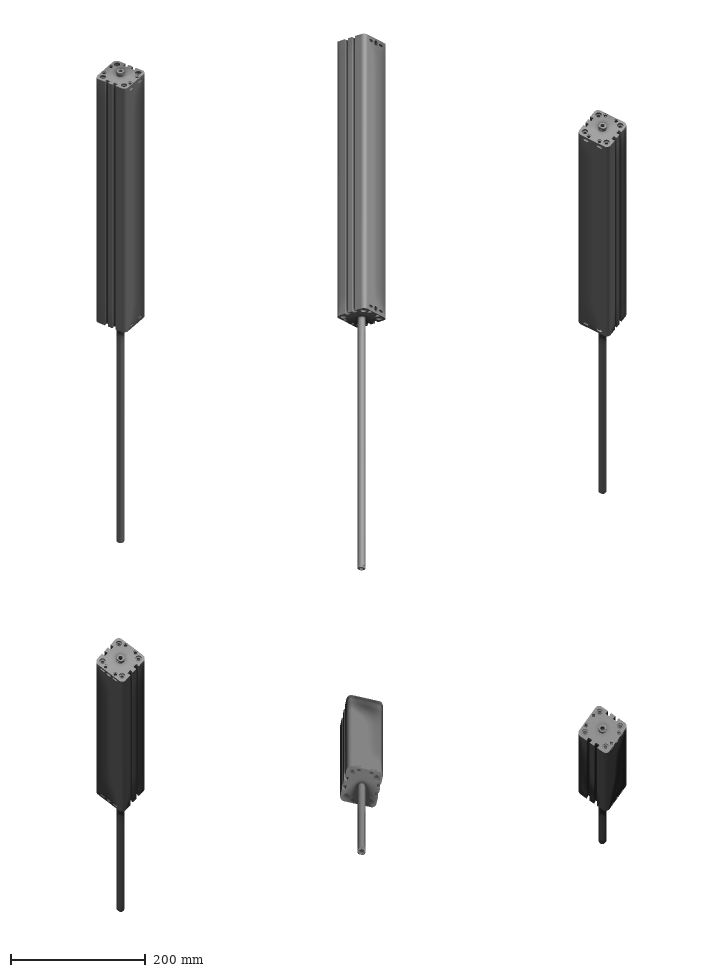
import cadquery as cq

total_length = 859.0
side = 55.0
corner_radius = 7.0
body_length = 445.0
cap_length = 14.0
rod_stickout = 7.1

slot_offset = 6.7
slot_mouth_width = 5.6
slot_inner_width = 6.4
slot_lip = 3.0
slot_depth = 5.6

rod_diameter = 12.0
rod_chamfer = 1.0
flat_depth = 1.0
flat_length = 4.0
rod_hole_diameter = 6.6
rod_hole_depth = 16.0
rod_seam_angle = 90

corner_hole_offset = 19.0
corner_head_diameter = 9.5
corner_head_depth = 3.5
side_hole_x = 23.0
side_hole_y = 9.5
side_head_diameter = 8.0
side_head_depth = 1.0
thread_diameter = 4.9
thread_depth = 7.0

port_distance = 7.1
port_diameter = 9.0
port_depth = 9.0
pocket_inner_y = 7.3
pocket_outer_y = 16.0
pocket_height = 4.0
pocket_depth = 3.5

rod_top = total_length / 2
body_top = rod_top - rod_stickout
body_bottom = body_top - body_length
body_middle = (body_top + body_bottom) / 2
upper_cap_bottom = body_top - cap_length
barrel_bottom = body_bottom + cap_length
barrel_length = body_length - 2 * cap_length

SIGNS = (-1, 1)


def corners(x, y):
    """The four points (+-x, +-y)."""
    return [(sx * x, sy * y) for sx in SIGNS for sy in SIGNS]


def slot_cutters(bottom, length, width, near_depth, far_depth):
    """Four strips along Z lying between two depths below the front and back faces."""
    centre_y = side / 2 - (near_depth + far_depth) / 2
    return (
        cq.Workplane("XY")
        .workplane(offset=bottom)
        .pushPoints(corners(slot_offset, centre_y))
        .rect(width, far_depth - near_depth)
        .extrude(length)
    )


def make_profile(bottom, length):
    """A length of the square section with its T-slots and the bore for the rod."""
    block = (
        cq.Workplane("XY")
        .workplane(offset=bottom)
        .rect(side, side)
        .extrude(length)
        .edges("|Z")
        .fillet(corner_radius)
    )
    bore = cq.Workplane("XY").workplane(offset=bottom).circle(rod_diameter / 2).extrude(length)
    return (
        block.cut(slot_cutters(bottom, length, slot_mouth_width, 0, slot_lip))
        .cut(slot_cutters(bottom, length, slot_inner_width, slot_lip, slot_depth))
        .cut(bore)
    )


def cut_stepped_holes(cap, points, head_diameter, head_depth):
    """Cut threaded holes with a wider head recess into the top face of a cap."""
    face = cq.Workplane("XY").workplane(offset=body_top).pushPoints(points)
    heads = face.circle(head_diameter / 2).extrude(-head_depth)
    threads = face.circle(thread_diameter / 2).extrude(-thread_depth)
    return cap.cut(heads).cut(threads)


def side_pockets(level):
    """Round-ended pockets, two in each of the two X faces."""
    pocket_length = pocket_outer_y - pocket_inner_y
    centre_y = (pocket_inner_y + pocket_outer_y) / 2
    pockets = cq.Workplane("XY")
    for face_x in (-side / 2, side / 2 - pocket_depth):
        pockets = pockets.add(
            cq.Workplane("YZ", origin=(face_x, 0, level))
            .pushPoints([(-centre_y, 0), (centre_y, 0)])
            .slot2D(pocket_length, pocket_height)
            .extrude(pocket_depth)
        )
    return pockets.combine()


def make_upper_cap():
    cap = make_profile(upper_cap_bottom, cap_length)
    corner_points = corners(corner_hole_offset, corner_hole_offset)
    cap = cut_stepped_holes(cap, corner_points, corner_head_diameter, corner_head_depth)
    side_points = corners(side_hole_x, side_hole_y)
    cap = cut_stepped_holes(cap, side_points, side_head_diameter, side_head_depth)
    port_level = body_top - port_distance
    port = (
        cq.Workplane("YZ", origin=(-side / 2, 0, port_level))
        .circle(port_diameter / 2)
        .extrude(port_depth)
    )
    return cap.cut(port).cut(side_pockets(port_level))


def make_lower_cap():
    """The upper cap mirrored to the other end of the barrel."""
    return make_upper_cap().mirror("XY", (0, 0, body_middle))


def cut_rod_end(rod, direction):
    """Cut two wrench flats and an axial hole into the end of the rod facing +Z or -Z."""
    end_level = direction * rod_top
    hole = (
        cq.Workplane("XY")
        .workplane(offset=end_level)
        .circle(rod_hole_diameter / 2)
        .extrude(-direction * rod_hole_depth)
    )
    flat_x = rod_diameter / 2 - flat_depth / 2
    flats = (
        cq.Workplane("XY")
        .workplane(offset=end_level)
        .pushPoints([(-flat_x, 0), (flat_x, 0)])
        .rect(flat_depth, rod_diameter)
        .extrude(-direction * flat_length)
    )
    return rod.cut(hole).cut(flats)


def make_rod():
    rod = (
        cq.Workplane("XY")
        .workplane(offset=-rod_top)
        .transformed(rotate=(0, 0, rod_seam_angle))
        .circle(rod_diameter / 2)
        .extrude(total_length)
        .faces("|Z")
        .edges()
        .chamfer(rod_chamfer)
    )
    for direction in SIGNS:
        rod = cut_rod_end(rod, direction)
    return rod


barrel = make_profile(barrel_bottom, barrel_length)
upper_cap = make_upper_cap()
lower_cap = make_lower_cap()
rod = make_rod()

bodies = (barrel, upper_cap, lower_cap, rod)
result = cq.Compound.makeCompound([body.solids().val() for body in bodies])